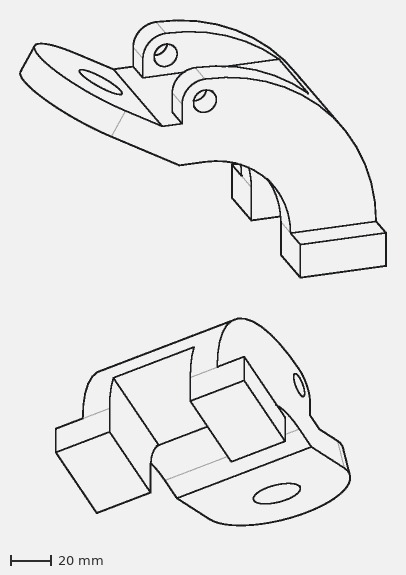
import cadquery as cq
import math

total_length = 170.9
total_width = 104.5
wall = total_width / 7
body_width = 5 * wall
gap_width = 3 * wall
foot_height = 1.2 * wall
inner_radius = 3 * wall
outer_radius = 6 * wall
lug_radius = 0.8 * wall
pin_radius = 0.4 * wall
web_thickness = 1.5 * wall
web_bottom = 3 * wall
ear_angle = math.radians(30)
ear_reach = 78.6
ear_radius = body_width / 2
ear_hole_radius = 0.8 * wall

cos_ear = math.cos(ear_angle)
sin_ear = math.sin(ear_angle)
crown_z = foot_height + inner_radius
web_top = crown_z + web_thickness
lug_z = foot_height + outer_radius - lug_radius
tip_y = outer_radius - total_length
bend_y = tip_y + ear_reach * cos_ear
straight_reach = ear_reach - ear_radius
top_bend_y = bend_y - (web_thickness - wall / cos_ear) / math.tan(ear_angle)


def ear_point(reach, height):
    """Y and Z of a point along the ear, measured from the bend in its underside."""
    return (
        bend_y - reach * cos_ear + height * sin_ear,
        crown_z + reach * sin_ear + height * cos_ear,
    )


def box_between(width, y_min, y_max, z_min, z_max):
    """Box centred across X."""
    return cq.Workplane("XY").box(
        width, y_max - y_min, z_max - z_min, centered=(True, False, False)
    ).translate((0, y_min, z_min))


def make_curved_body():
    """Quarter bend with lug and the straight part of the tilted ear."""
    diagonal = math.sqrt(0.5)
    return (
        cq.Workplane("YZ")
        .moveTo(outer_radius, 0)
        .lineTo(outer_radius, foot_height)
        .threePointArc(
            (outer_radius * diagonal, foot_height + outer_radius * diagonal),
            (0, foot_height + outer_radius),
        )
        .threePointArc(
            (-lug_radius * diagonal, lug_z + lug_radius * diagonal),
            (-lug_radius, lug_z),
        )
        .lineTo(-lug_radius, web_top)
        .lineTo(top_bend_y, web_top)
        .lineTo(*ear_point(straight_reach, wall))
        .lineTo(*ear_point(straight_reach, 0))
        .lineTo(bend_y, crown_z)
        .lineTo(0, crown_z)
        .threePointArc(
            (inner_radius * diagonal, foot_height + inner_radius * diagonal),
            (inner_radius, foot_height),
        )
        .lineTo(inner_radius, 0)
        .close()
        .extrude(body_width / 2, both=True)
    )


def ear_disc(radius):
    """Disc through the ear thickness, centred on the ear hole."""
    center_y, center_z = ear_point(straight_reach, 0)
    plane = cq.Plane(
        origin=(0, center_y, center_z), xDir=(1, 0, 0), normal=(0, sin_ear, cos_ear)
    )
    return cq.Workplane(plane).circle(radius).extrude(wall)


feet = box_between(total_width, inner_radius, outer_radius, 0, foot_height)
upper_gap = box_between(gap_width, -lug_radius, outer_radius, web_top, foot_height + outer_radius)
lower_gap = box_between(gap_width, 0, outer_radius, 0, web_bottom)
pin_hole = (
    cq.Workplane("YZ").center(0, lug_z).circle(pin_radius).extrude(body_width / 2, both=True)
)

result = (
    make_curved_body()
    .union(feet)
    .union(ear_disc(ear_radius))
    .cut(upper_gap)
    .cut(lower_gap)
    .cut(pin_hole)
    .cut(ear_disc(ear_hole_radius))
)